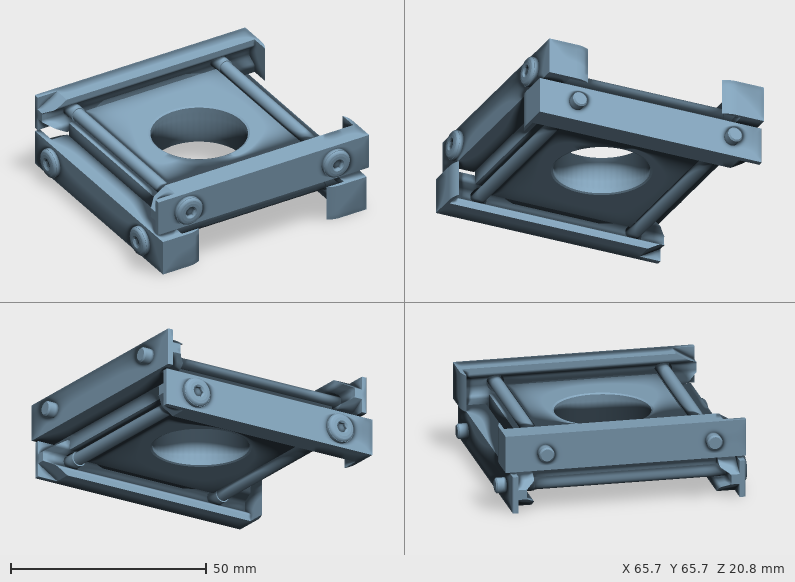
import cadquery as cq
import math


plate_side = 48.6
plate_thickness = 10.8
edge_chamfer = 0.2
bore_diameter = 25.0
bore_chamfer_width = 0.5
bore_chamfer_depth = 0.25

jaw_top = 10.415
jaw_bottom = 0.625
jaw_outer_x = 30.55
jaw_plain_end_y = -30.8
jaw_stop_end_y = 32.4
jaw_inner_x = plate_side / 2
jaw_centre_z = (jaw_top + jaw_bottom) / 2
web_thickness = 1.5

groove_depth = 2.55
groove_floor_height = 2.6
groove_slope_angle = 30.0
groove_round = 1.0

nose_length = 5.9
nose_tip_height = 2.6

stop_inner_x = 18.7
stop_thickness = 1.0
stop_tip_thickness = 0.05
stop_curve_start_x = 22.65
stop_curve_radius = 6.95

bridge_radius = 29.55
bridge_top = 4.8

screw_offset_y = 22.1
shank_diameter = 3.4
thread_diameter = 4.0
thread_tip_diameter = 3.2
thread_start_x = -23.25
thread_tip_x = -33.3
clearance_diameter = 4.6
tip_chamfer = (thread_diameter - thread_tip_diameter) / 2

head_diameter = 7.8
head_crown_diameter = 7.6
head_shoulder_diameter = 6.5
head_face_diameter = 5.1
head_rim_height = 1.05
head_shoulder_height = 1.7
head_crown_bulge = 0.1
head_height = 1.85
socket_across_flats = 2.5
socket_mouth_diameter = 3.4
socket_depth = 1.2

nut_across_flats = 7.5
nut_thickness = 2.6


def hexagon(plane, across_flats, length):
    """Hexagonal prism with two corners along the local X axis of the plane."""
    across_corners = across_flats / math.cos(math.radians(30))
    return cq.Workplane(plane).polygon(6, across_corners).extrude(length)


def mirrored_pair(shape):
    """A shape together with its mirror image across the YZ plane."""
    return shape.union(shape.mirror("YZ"))


def turned_underneath(shape):
    """Carry a shape from the upper clamp to the lower clamp."""
    return shape.mirror("XY").rotate((0, 0, 0), (0, 0, 1), -90)


def groove_cutter():
    """V groove of the +X jaw, with rounded lips and rounded floor corners."""
    rise = groove_depth * math.tan(math.radians(groove_slope_angle))
    floor_x = jaw_inner_x + groove_depth
    floor_half = groove_floor_height / 2
    lip_half = floor_half + rise
    corners = [
        (floor_x, jaw_centre_z - floor_half),
        (floor_x, jaw_centre_z + floor_half),
        (jaw_inner_x, jaw_centre_z + lip_half),
        (jaw_inner_x, jaw_top),
        (0, jaw_top),
        (0, jaw_bottom),
        (jaw_inner_x, jaw_bottom),
        (jaw_inner_x, jaw_centre_z - lip_half),
    ]
    length = jaw_stop_end_y - stop_thickness - jaw_plain_end_y
    cutter = (
        cq.Workplane("XZ", origin=(0, jaw_plain_end_y, 0))
        .polyline(corners)
        .close()
        .extrude(-length)
    )
    margin = 0.05
    rounded_zone = cq.selectors.BoxSelector(
        (jaw_inner_x - margin, jaw_plain_end_y, jaw_centre_z - lip_half - margin),
        (floor_x + margin, jaw_stop_end_y, jaw_centre_z + lip_half + margin),
    )
    return cutter.edges("|Y").edges(rounded_zone).fillet(groove_round)


def jaw_blank():
    """Full-height +X jaw with its inward stop at the +Y end, before the groove and nose are cut."""
    curve_dx = stop_curve_start_x - stop_inner_x
    curve_dy = stop_curve_radius - math.sqrt(stop_curve_radius**2 - curve_dx**2)
    half_dx = curve_dx / 2
    half_dy = stop_curve_radius - math.sqrt(stop_curve_radius**2 - half_dx**2)
    stop_inner_y = jaw_stop_end_y - curve_dy - stop_tip_thickness
    return (
        cq.Workplane("XY", origin=(0, 0, jaw_bottom))
        .moveTo(jaw_outer_x - edge_chamfer, jaw_plain_end_y)
        .lineTo(jaw_outer_x, jaw_plain_end_y + edge_chamfer)
        .lineTo(jaw_outer_x, jaw_stop_end_y)
        .lineTo(stop_curve_start_x, jaw_stop_end_y)
        .threePointArc(
            (stop_curve_start_x - half_dx, jaw_stop_end_y - half_dy),
            (stop_inner_x, jaw_stop_end_y - curve_dy),
        )
        .lineTo(stop_inner_x, stop_inner_y)
        .lineTo(jaw_inner_x, stop_inner_y)
        .lineTo(jaw_inner_x, jaw_plain_end_y)
        .close()
        .extrude(jaw_top - jaw_bottom)
    )


def nose_cutter():
    """Wedges above and below the nose, inward of the jaw's outer web."""
    nose_start_y = jaw_plain_end_y + nose_length
    web_inner_x = jaw_outer_x - web_thickness
    upper = (
        cq.Workplane("YZ")
        .polyline(
            [
                (nose_start_y, jaw_top),
                (jaw_plain_end_y, jaw_top),
                (jaw_plain_end_y, jaw_centre_z + nose_tip_height / 2),
            ]
        )
        .close()
        .extrude(web_inner_x)
    )
    lower = upper.mirror("XY", (0, 0, jaw_centre_z))
    return upper.union(lower)


def make_jaw():
    """The finished +X jaw."""
    return jaw_blank().cut(groove_cutter()).cut(nose_cutter())


def make_bridges():
    """The part of a round disc that reaches past the plate into the two jaws."""
    disc = cq.Workplane("XY", origin=(0, 0, jaw_bottom)).circle(bridge_radius)
    disc = disc.extrude(bridge_top - jaw_bottom)
    strip = cq.Workplane("XY").box(2 * jaw_outer_x, plate_side, 2 * bridge_top)
    return disc.intersect(strip)


def make_upper_jaws():
    """Both jaws of the upper clamp with the bridges to the plate."""
    return mirrored_pair(make_jaw()).union(make_bridges())


def screw_way(side):
    """Clearance hole, open seat in the plate's edge and nut pocket for one screw."""
    y = side * screw_offset_y
    radius = clearance_diameter / 2
    hole = (
        cq.Workplane("YZ", origin=(-jaw_outer_x, y, jaw_centre_z))
        .circle(radius)
        .extrude(2 * jaw_outer_x)
    )
    seat_width = plate_side / 2 - screw_offset_y
    seat = cq.Workplane("XY").box(plate_side, seat_width, clearance_diameter)
    seat = seat.translate((0, side * (screw_offset_y + seat_width / 2), jaw_centre_z))
    return hole.union(seat).union(make_nut(side))


def make_nut(side):
    """Nut flush with the outer side of the -X jaw, which also shapes its pocket."""
    plane = cq.Plane(
        origin=(-jaw_outer_x, side * screw_offset_y, jaw_centre_z), xDir=(0, 1, 0), normal=(1, 0, 0)
    )
    return hexagon(plane, nut_across_flats, nut_thickness)


def make_frame():
    """Plate and four jaws in one piece, with the screw ways and the bore cut out."""
    plate = cq.Workplane("XY").box(plate_side, plate_side, plate_thickness)
    plate = plate.edges().chamfer(edge_chamfer)
    jaws = make_upper_jaws()
    frame = plate.union(jaws).union(turned_underneath(jaws))
    for side in (-1, 1):
        way = screw_way(side)
        frame = frame.cut(way).cut(turned_underneath(way))
    bore = cq.Workplane("XY").circle(bore_diameter / 2).extrude(plate_thickness / 2)
    bore = bore.faces(">Z").workplane().circle(bore_diameter / 2 + bore_chamfer_width)
    bore = bore.workplane(offset=-bore_chamfer_depth).circle(bore_diameter / 2).loft(combine=True)
    return frame.cut(bore).cut(bore.mirror("XY"))


def make_screw(side):
    """Button head screw with its nut, lying along X in the upper clamp."""
    seat_x = jaw_outer_x
    turned_screw = (
        cq.Workplane("XY")
        .moveTo(thread_tip_x, 0)
        .lineTo(thread_tip_x, thread_tip_diameter / 2)
        .lineTo(thread_tip_x + tip_chamfer, thread_diameter / 2)
        .lineTo(thread_start_x, thread_diameter / 2)
        .lineTo(thread_start_x, shank_diameter / 2)
        .lineTo(seat_x, shank_diameter / 2)
        .lineTo(seat_x, head_diameter / 2)
        .lineTo(seat_x + head_rim_height, head_diameter / 2)
        .lineTo(seat_x + head_rim_height, head_crown_diameter / 2)
        .sagittaArc((seat_x + head_shoulder_height, head_shoulder_diameter / 2), head_crown_bulge)
        .lineTo(seat_x + head_height, head_face_diameter / 2)
        .lineTo(seat_x + head_height, 0)
        .close()
        .revolve(360, (0, 0, 0), (1, 0, 0))
    )
    face_plane = cq.Plane(origin=(seat_x + head_height, 0, 0), xDir=(0, 1, 0), normal=(1, 0, 0))
    socket = hexagon(face_plane, socket_across_flats, -socket_depth)
    mouth_depth = (socket_mouth_diameter - socket_across_flats) / 2
    mouth = (
        cq.Workplane(face_plane)
        .circle(socket_mouth_diameter / 2)
        .workplane(offset=-mouth_depth)
        .circle(socket_across_flats / 2)
        .loft()
    )
    screw = turned_screw.cut(socket).cut(mouth)
    return screw.translate((0, side * screw_offset_y, jaw_centre_z)).union(make_nut(side))


frame = make_frame()
screws = []
for row in (-1, 1):
    upper_screw = make_screw(row)
    screws.append(upper_screw)
    screws.append(turned_underneath(upper_screw))

result = cq.Compound.makeCompound([frame.val()] + [screw.val() for screw in screws])